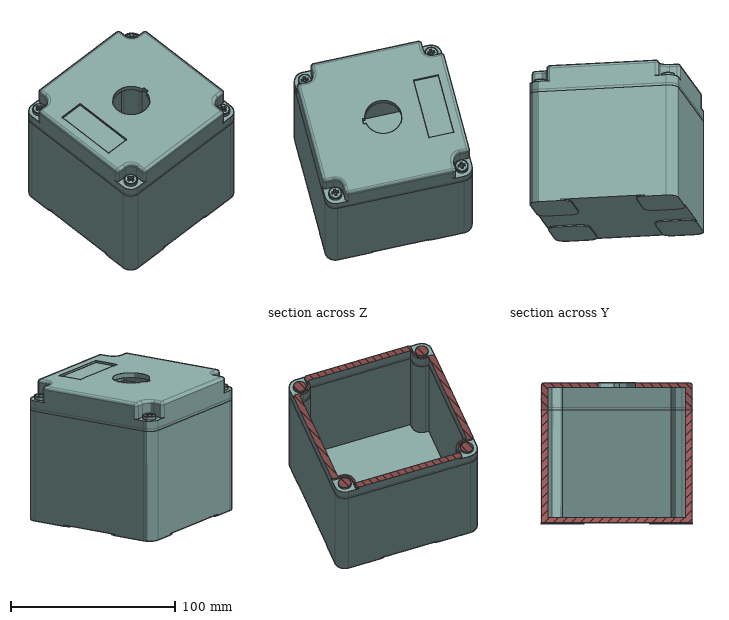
import cadquery as cq
import math

SIDE = 92.0
HEIGHT = 86.0
CORNER_RADIUS = 6.4
WALL = 4.2
FLOOR = 4.05

COVER_HEIGHT = 16.6
RIM_HEIGHT = 1.6
COVER_TOP = 3.0
EDGE_FILLET = 1.9
NOTCH_SIZE = 11.4
NOTCH_DEPTH = 10.0

POST_RADIUS = 6.4

HOLE_DIAMETER = 22.5
KEY_WIDTH = 3.5
KEY_REACH = 12.6

LABEL_LENGTH = 40.3
LABEL_WIDTH = 15.5
LABEL_Y = -31.6
LABEL_DEPTH = 1.3

HEAD_DIAMETER = 8.0
HEAD_SIDE_HEIGHT = 1.9
HEAD_HEIGHT = 3.0
DOME_DIAMETER = 7.4
DOME_BASE_HEIGHT = 2.2
CROSS_LENGTH = 4.3
CROSS_WIDTH = 1.5
CROSS_DEPTH = 1.8
CROSS_TAPER = 10

FOOT_LENGTH_X = 25.95
FOOT_LENGTH_Y = 33.1
FOOT_RADIUS = 6.0
FOOT_HEIGHT = 0.8

HALF_SIDE = SIDE / 2
SPLIT_Z = HEIGHT - COVER_HEIGHT
NOTCH_FLOOR_Z = HEIGHT - NOTCH_DEPTH
SCREW_OFFSET = HALF_SIDE - CORNER_RADIUS
CORNERS = [(sx, sy) for sx in (-1, 1) for sy in (-1, 1)]


def rounded_block(size_x, size_y, radius, bottom, top):
    """Block centred on the Z axis with rounded vertical edges."""
    block = cq.Workplane("XY", origin=(0, 0, bottom)).rect(size_x, size_y).extrude(top - bottom)
    return block.edges("|Z").fillet(radius)


def corner_blocks(size_x, size_y, radius, bottom, top):
    """Four rounded blocks, each centred on a corner of the square outline and reaching inward."""
    corners = [(sx * HALF_SIDE, sy * HALF_SIDE) for sx, sy in CORNERS]
    plane = cq.Workplane("XY", origin=(0, 0, bottom)).pushPoints(corners)
    return plane.rect(2 * size_x, 2 * size_y).extrude(top - bottom).edges("|Z").fillet(radius)


def outer_block(bottom, top):
    return rounded_block(SIDE, SIDE, CORNER_RADIUS, bottom, top)


def cavity(bottom, top):
    """Inside space: a square between the walls, less the four corner posts."""
    inner_side = SIDE - 2 * WALL
    space = cq.Workplane("XY", origin=(0, 0, bottom)).rect(inner_side, inner_side).extrude(top - bottom)
    post_size = CORNER_RADIUS + POST_RADIUS
    return space.cut(corner_blocks(post_size, post_size, POST_RADIUS, bottom, top))


def make_box():
    box = outer_block(FOOT_HEIGHT, SPLIT_Z)
    foot = rounded_block(FOOT_LENGTH_X, FOOT_LENGTH_Y, FOOT_RADIUS, 0, FOOT_HEIGHT)
    foot_x = HALF_SIDE - FOOT_LENGTH_X / 2
    foot_y = HALF_SIDE - FOOT_LENGTH_Y / 2
    footprint = outer_block(0, FOOT_HEIGHT)
    for sx, sy in CORNERS:
        box = box.union(foot.translate((sx * foot_x, sy * foot_y, 0)).intersect(footprint))
    return box.cut(cavity(FLOOR, SPLIT_Z))


def make_cross_slot(length, width, top):
    """Tapered slot cutter, widest at its top."""
    plane = cq.Workplane("XY", origin=(0, 0, top)).rect(length, width)
    return plane.extrude(-CROSS_DEPTH, taper=CROSS_TAPER)


def make_screw_head():
    """Domed head with a bevelled rim and a cross recess, standing on Z = 0."""
    rim_radius = HEAD_DIAMETER / 2
    dome_radius = DOME_DIAMETER / 2
    rise = HEAD_HEIGHT - DOME_BASE_HEIGHT
    sphere_radius = (dome_radius**2 + rise**2) / (2 * rise)
    mid_x = dome_radius / 2
    mid_z = HEAD_HEIGHT - sphere_radius + math.sqrt(sphere_radius**2 - mid_x**2)
    head = (
        cq.Workplane("XZ")
        .lineTo(rim_radius, 0)
        .lineTo(rim_radius, HEAD_SIDE_HEIGHT)
        .lineTo(dome_radius, DOME_BASE_HEIGHT)
        .threePointArc((mid_x, mid_z), (0, HEAD_HEIGHT))
        .close()
        .revolve(360, (0, 0, 0), (0, 1, 0))
    )
    head = head.cut(make_cross_slot(CROSS_LENGTH, CROSS_WIDTH, HEAD_HEIGHT))
    return head.cut(make_cross_slot(CROSS_WIDTH, CROSS_LENGTH, HEAD_HEIGHT))


def make_raised_top():
    """Upper part of the cover, notched at the corners and rounded along its edges."""
    notch_radius = NOTCH_SIZE - CORNER_RADIUS
    top = cq.Workplane("XY", origin=(0, 0, NOTCH_FLOOR_Z)).rect(SIDE, SIDE).extrude(NOTCH_DEPTH)
    top = top.cut(corner_blocks(NOTCH_SIZE, NOTCH_SIZE, notch_radius, NOTCH_FLOOR_Z, HEIGHT))
    top = top.edges("|Z and (<X or >X or <Y or >Y)").fillet(EDGE_FILLET)
    return top.faces(">Z").edges().fillet(EDGE_FILLET)


def make_keyed_hole():
    bottom = HEIGHT - COVER_TOP
    plane = cq.Workplane("XY", origin=(0, 0, bottom))
    hole = plane.circle(HOLE_DIAMETER / 2).extrude(COVER_TOP)
    key = plane.center(0, KEY_REACH / 2).rect(KEY_WIDTH, KEY_REACH).extrude(COVER_TOP)
    return hole.union(key)


def make_label_recess():
    plane = cq.Workplane("XY", origin=(0, LABEL_Y, HEIGHT - LABEL_DEPTH))
    return plane.rect(LABEL_LENGTH, LABEL_WIDTH).extrude(LABEL_DEPTH)


def make_cover():
    rim_top = SPLIT_Z + RIM_HEIGHT
    cover = outer_block(rim_top, NOTCH_FLOOR_Z).union(make_raised_top())
    cover = cover.cut(cavity(rim_top, HEIGHT - COVER_TOP))
    cover = cover.cut(make_keyed_hole()).cut(make_label_recess())
    head = make_screw_head()
    for sx, sy in CORNERS:
        cover = cover.union(head.translate((sx * SCREW_OFFSET, sy * SCREW_OFFSET, NOTCH_FLOOR_Z)))
    rim = outer_block(SPLIT_Z, rim_top).cut(cavity(SPLIT_Z, rim_top))
    return cover.union(rim, clean=False)


box = make_box()
cover = make_cover()

result = cq.Compound.makeCompound([box.val(), cover.val()])